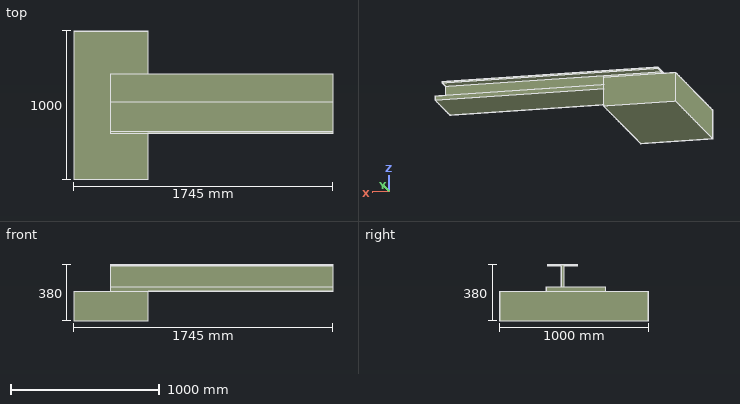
import cadquery as cq

block_width = 1000.0
block_length = 501.0
block_height = 200.0

overall_length = 1745.0
beam_start = 246.0
beam_length = overall_length - beam_start
plate_width = 400.0
plate_thickness = 30.0
plate_edge_setback = 312.0

overall_height = 380.0
flange_width = 200.0
flange_thickness = 10.0
flange_edge_setback = 10.0
web_thickness = 21.0

plate_front = -block_width / 2 + plate_edge_setback
plate_top = block_height + plate_thickness
tee_center = plate_front + flange_edge_setback + flange_width / 2
tee_height = overall_height - plate_top


def bar(length, width, height, start, center_y, bottom):
    """Rectangular bar along X, placed by its -X end, its middle in Y and its bottom."""
    return (
        cq.Workplane("XY")
        .box(length, width, height, centered=(False, True, False))
        .translate((start, center_y, bottom))
    )


def make_block():
    return bar(block_length, block_width, block_height, 0, 0, 0)


def make_plate():
    plate_center = plate_front + plate_width / 2
    return bar(beam_length, plate_width, plate_thickness, beam_start, plate_center, block_height)


def make_tee():
    """Upright web carrying a thin top flange, made as one piece."""
    web = bar(beam_length, web_thickness, tee_height, beam_start, tee_center, plate_top)
    flange_bottom = overall_height - flange_thickness
    flange = bar(beam_length, flange_width, flange_thickness, beam_start, tee_center, flange_bottom)
    return web.union(flange)


block = make_block()
plate = make_plate()
tee = make_tee()

result = cq.Compound.makeCompound([block.val(), plate.val(), *tee.solids().vals()])